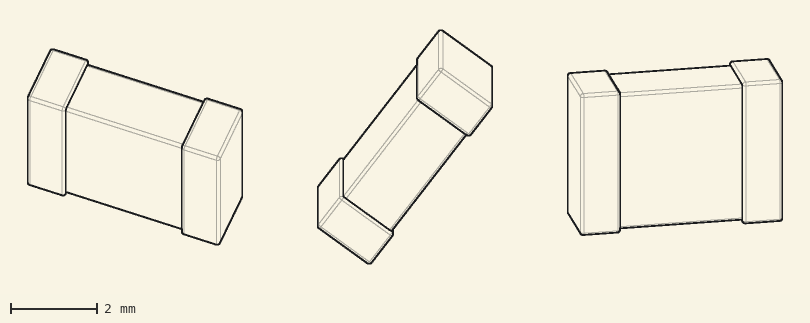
import cadquery as cq

LENGTH = 4.8
DEPTH = 1.55
HEIGHT = 3.5

TERMINAL_LENGTH = 0.95
EDGE_RADIUS = 0.07
BODY_INSET = 0.07

BODY_LENGTH = LENGTH - 2 * TERMINAL_LENGTH
BODY_DEPTH = DEPTH - 2 * BODY_INSET
BODY_HEIGHT = HEIGHT - 2 * BODY_INSET
TERMINAL_CENTER_X = (LENGTH - TERMINAL_LENGTH) / 2


def make_body():
    """Ceramic block between the terminals, rounded along its four long edges."""
    block = cq.Workplane("XY").box(BODY_LENGTH, BODY_DEPTH, BODY_HEIGHT)
    return block.edges("|X").fillet(EDGE_RADIUS)


def make_terminal(center_x):
    """Metal end block, rounded on every edge, butting against the body."""
    block = cq.Workplane("XY").box(TERMINAL_LENGTH, DEPTH, HEIGHT)
    return block.edges().fillet(EDGE_RADIUS).translate((center_x, 0, 0))


body = make_body()
terminals = [make_terminal(side * TERMINAL_CENTER_X) for side in (-1, 1)]

result = cq.Compound.makeCompound([body.val(), *[terminal.val() for terminal in terminals]])